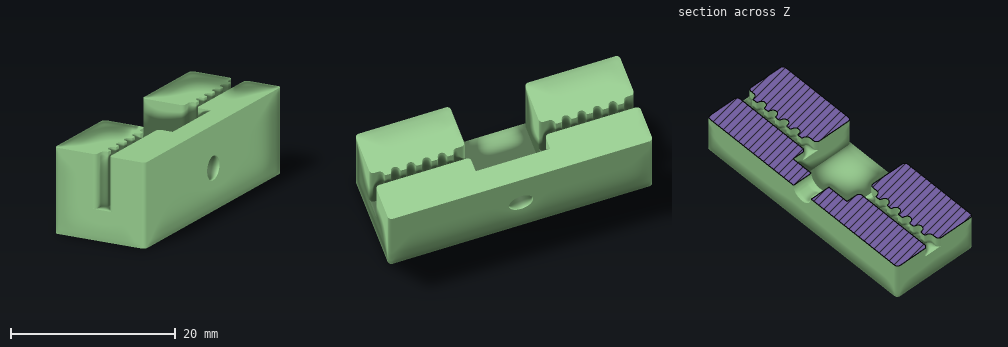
import cadquery as cq
import math

WIDTH = 12.6
LENGTH = 34.0
HEIGHT = 11.0
EDGE_RADIUS = 0.5

POSITION_TOLERANCE = 0.005

POCKET_WIDTH = 9.6
BACK_WALL = 3.0
POCKET_FLOOR = 1.22
POCKET_DEPTH = WIDTH - BACK_WALL

HOLE_DIAMETER = 3.1

SLOT_DEPTH = 7.0
SMOOTH_WALL_X = 7.58
TOOTH_CLEARANCE = 1.02
TOOTH_HEIGHT = 0.75
TOOTH_COUNT = 5
TOOTH_PITCH = 2.0
MIDDLE_TOOTH_Y = 10.98
TIP_X = SMOOTH_WALL_X - TOOTH_CLEARANCE
ROOT_X = TIP_X - TOOTH_HEIGHT

ROOT_RADIUS = 0.55
FLANK_RADIUS = 1.0
TIP_RADIUS = 0.15

ROOT_CENTRE_DEPTH = TOOTH_HEIGHT - ROOT_RADIUS
FLANK_OFFSET = math.sqrt((FLANK_RADIUS - ROOT_RADIUS) ** 2 - ROOT_CENTRE_DEPTH**2)

ROOT_SCALE = FLANK_RADIUS / (FLANK_RADIUS - ROOT_RADIUS)
ROOT_TO_FLANK = (FLANK_OFFSET * (ROOT_SCALE - 1), ROOT_CENTRE_DEPTH * ROOT_SCALE)
TIP_REACH = math.sqrt((FLANK_RADIUS + TIP_RADIUS) ** 2 - TIP_RADIUS**2)
TIP_SCALE = FLANK_RADIUS / (FLANK_RADIUS + TIP_RADIUS)
FLANK_TO_TIP = (TIP_REACH * TIP_SCALE - FLANK_OFFSET, TIP_RADIUS * TIP_SCALE)
TIP_TO_LAND = (TIP_REACH - FLANK_OFFSET, 0.0)
GROOVE_POINTS = [ROOT_TO_FLANK, FLANK_TO_TIP, TIP_TO_LAND]


def make_block():
    block = cq.Workplane("XY").box(WIDTH, LENGTH, HEIGHT, centered=(False, True, False))
    return block.edges("|Z").fillet(EDGE_RADIUS)


def make_pocket():
    pocket = cq.Workplane("XY").workplane(offset=POCKET_FLOOR)
    return pocket.box(POCKET_DEPTH, POCKET_WIDTH, HEIGHT, centered=(False, True, False))


def make_hole():
    hole = cq.Workplane("YZ").center(0, HEIGHT / 2)
    return hole.circle(HOLE_DIAMETER / 2).extrude(WIDTH)


def make_belt_slot():
    """Slot on the +Y side, smooth on its +X wall and toothed on the other."""
    inner_y = POCKET_WIDTH / 2
    outer_y = LENGTH / 2
    first_groove_y = MIDDLE_TOOTH_Y - TOOTH_COUNT * TOOTH_PITCH / 2
    last_groove_y = first_groove_y + TOOTH_COUNT * TOOTH_PITCH

    outline = cq.Workplane("XY").workplane(offset=HEIGHT - SLOT_DEPTH)
    outline = outline.moveTo(SMOOTH_WALL_X, inner_y).lineTo(ROOT_X, inner_y)
    outline = outline.lineTo(ROOT_X, first_groove_y)
    for tooth in range(TOOTH_COUNT):
        groove_y = first_groove_y + tooth * TOOTH_PITCH
        next_groove_y = groove_y + TOOTH_PITCH
        for across, depth in GROOVE_POINTS:
            outline = outline.tangentArcPoint((TIP_X - depth, groove_y + across), relative=False)
        outline = outline.lineTo(TIP_X, next_groove_y - TIP_TO_LAND[0])
        for across, depth in reversed(GROOVE_POINTS[:-1]):
            outline = outline.tangentArcPoint((TIP_X - depth, next_groove_y - across), relative=False)
    outline = outline.tangentArcPoint((ROOT_X, last_groove_y), relative=False)
    outline = outline.lineTo(ROOT_X, outer_y).lineTo(SMOOTH_WALL_X, outer_y).close()
    return outline.extrude(SLOT_DEPTH)


def near(value, target):
    return math.isclose(value, target, abs_tol=POSITION_TOLERANCE)


def is_mouth_edge(edge):
    """True for the upright corners where the pocket and the slots open."""
    centre = edge.Center()
    at_pocket_side = near(abs(centre.y), POCKET_WIDTH / 2)
    at_end = near(abs(centre.y), LENGTH / 2)
    on_slot_wall = near(centre.x, ROOT_X) or near(centre.x, SMOOTH_WALL_X)
    on_outer_face = near(centre.x, 0)
    return (on_slot_wall and (at_pocket_side or at_end)) or (on_outer_face and at_pocket_side)


belt_slot = make_belt_slot()
result = make_block().cut(make_pocket()).cut(make_hole())
result = result.cut(belt_slot).cut(belt_slot.mirror("XZ"))
result = result.edges("|Z").filter(is_mouth_edge).fillet(EDGE_RADIUS)